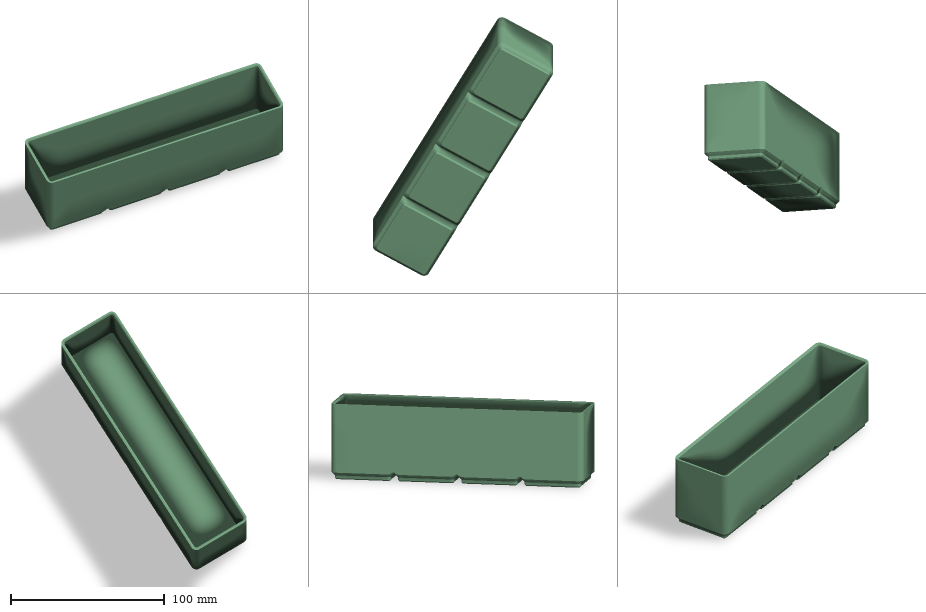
import cadquery as cq

cell_pitch = 42.0
cell_count = 4
side_clearance = 0.25
bin_width = cell_pitch - 2 * side_clearance
bin_length = cell_pitch * cell_count - 2 * side_clearance
bin_height = 50.0
corner_radius = 3.75

foot_lower_chamfer = 0.8
foot_straight = 1.8
foot_upper_chamfer = 2.15
foot_height = foot_lower_chamfer + foot_straight + foot_upper_chamfer
feet_merge_height = 7.0

wall_thickness = 2.0
floor_height = feet_merge_height
rim_chamfer = 0.8


def inset_outline(length, inset, height):
    """Rounded rectangle, bin_width wide, offset inwards by inset (outwards if negative)."""
    outline = cq.Sketch().rect(bin_width - 2 * inset, length - 2 * inset)
    outline = outline.vertices().fillet(corner_radius - inset)
    return cq.Workplane("XY").workplane(offset=height).placeSketch(outline)


def outline_wire(length, inset, height):
    """Bare edge loop of a rounded rectangle, taken from the underside of a thin plate."""
    plate_thickness = 1.0
    plate = inset_outline(length, inset, height).extrude(plate_thickness)
    return plate.faces("<Z").wires().val()


def tapered_block(length, bottom_inset, bottom, top_inset, top):
    """Solid between two concentric rounded rectangles, with straight sloping sides."""
    lower = outline_wire(length, bottom_inset, bottom)
    upper = outline_wire(length, top_inset, top)
    return cq.Workplane(cq.Solid.makeLoft([lower, upper], True))


def make_foot():
    """One foot; its upper slope carries on outwards until it meets its neighbours."""
    cell_length = bin_width
    straight_inset = foot_upper_chamfer
    bottom_inset = straight_inset + foot_lower_chamfer
    straight_top = foot_lower_chamfer + foot_straight
    slope_overrun = feet_merge_height - foot_height

    foot = tapered_block(cell_length, bottom_inset, 0, straight_inset, foot_lower_chamfer)
    straight = inset_outline(cell_length, straight_inset, foot_lower_chamfer).extrude(foot_straight)
    slope = tapered_block(cell_length, straight_inset, straight_top, -slope_overrun, feet_merge_height)
    return foot.union(straight).union(slope)


def make_body():
    """Solid bin standing on its row of feet, trimmed to the outer walls."""
    body = inset_outline(bin_length, 0, feet_merge_height).extrude(bin_height - feet_merge_height)
    envelope = inset_outline(bin_length, 0, 0).extrude(feet_merge_height)
    foot = make_foot()
    for index in range(cell_count):
        cell_y = (index - (cell_count - 1) / 2) * cell_pitch
        body = body.union(foot.translate((0, cell_y, 0)).intersect(envelope))
    return body.clean()


def make_cavity():
    """Storage space with a chamfered mouth at the rim."""
    cavity = inset_outline(bin_length, wall_thickness, floor_height).extrude(bin_height - floor_height)
    mouth_inset = wall_thickness - rim_chamfer
    mouth = tapered_block(bin_length, wall_thickness, bin_height - rim_chamfer, mouth_inset, bin_height)
    return cavity.union(mouth)


result = make_body().cut(make_cavity())